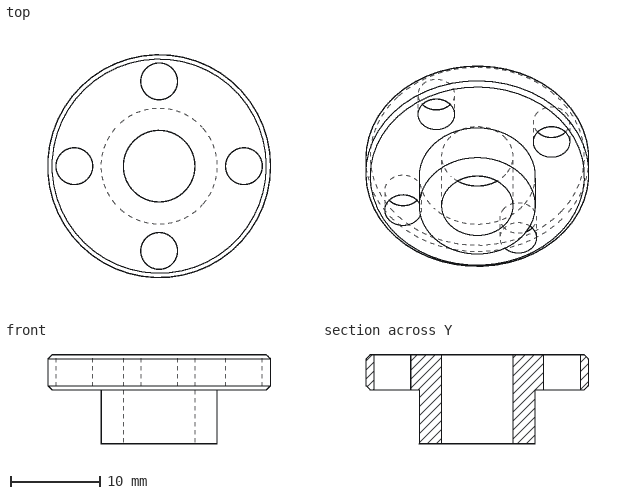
import cadquery as cq

flange_diameter = 25.0
flange_thickness = 4.0
flange_chamfer = 0.5

total_height = 10.0
hub_diameter = 13.0
hub_length = total_height - flange_thickness

bore_diameter = 8.0
bolt_hole_diameter = 4.1
bolt_circle_radius = 9.5
bolt_hole_count = 4


def make_flange():
    """Disc standing on top of the hub, chamfered on both rims."""
    disc = cq.Workplane("XY").workplane(offset=hub_length).circle(flange_diameter / 2).extrude(flange_thickness)
    return disc.edges().chamfer(flange_chamfer)


def make_hub():
    """Plain cylinder from the base up to the underside of the flange."""
    return cq.Workplane("XY").circle(hub_diameter / 2).extrude(hub_length)


def make_bore():
    """Central through bore."""
    return cq.Workplane("XY").circle(bore_diameter / 2).extrude(total_height)


def make_bolt_holes():
    """Flange holes spaced evenly on the bolt circle, starting on the X axis."""
    return (
        cq.Workplane("XY")
        .workplane(offset=hub_length)
        .polarArray(bolt_circle_radius, 0, 360, bolt_hole_count)
        .circle(bolt_hole_diameter / 2)
        .extrude(flange_thickness)
    )


result = make_hub().union(make_flange()).cut(make_bore()).cut(make_bolt_holes())